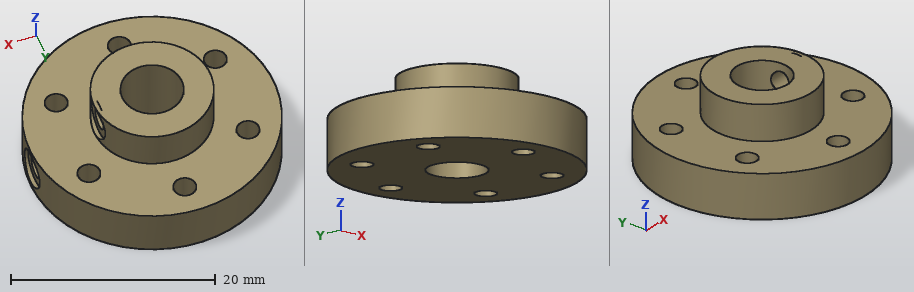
import cadquery as cq

flange_diameter = 25.4
hub_diameter = 12.07
bore_diameter = 6.2
overall_height = 9.21
hub_height = 4.1
flange_height = overall_height - hub_height

bolt_hole_diameter = 2.26
bolt_hole_count = 6
bolt_circle_diameter = 19.05
bolt_start_angle = 28.65

screw_hole_diameter = 2.26
spotface_diameter = 4.1
spotface_depth = 0.5


def cylinder_along_x(diameter, start_x, end_x, height):
    """Cylinder parallel to X at the given height above the base."""
    return (
        cq.Workplane("YZ", origin=(start_x, 0, height))
        .circle(diameter / 2)
        .extrude(end_x - start_x)
    )


def screw_hole(height, outer_diameter):
    """Radial hole from the bore axis outwards, with a spotface on the rim."""
    outer_radius = outer_diameter / 2
    hole = cylinder_along_x(screw_hole_diameter, 0, outer_radius, height)
    spotface = cylinder_along_x(spotface_diameter, outer_radius - spotface_depth, outer_radius, height)
    return hole.union(spotface)


body = cq.Workplane("XY").circle(flange_diameter / 2).extrude(flange_height)
body = body.faces(">Z").workplane().circle(hub_diameter / 2).extrude(hub_height)

bore = cq.Workplane("XY").circle(bore_diameter / 2).extrude(overall_height)

bolt_holes = (
    cq.Workplane("XY")
    .polarArray(bolt_circle_diameter / 2, bolt_start_angle, 360, bolt_hole_count)
    .circle(bolt_hole_diameter / 2)
    .extrude(flange_height)
)

hub_screw_hole = screw_hole(flange_height + hub_height / 2, hub_diameter)
flange_screw_hole = screw_hole(flange_height / 2, flange_diameter)

result = body.cut(bore).cut(bolt_holes).cut(hub_screw_hole).cut(flange_screw_hole)